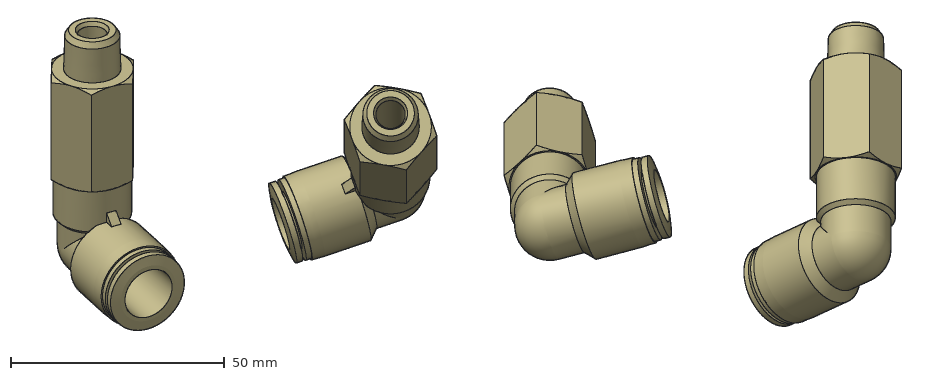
import cadquery as cq
import math

OVERALL_LENGTH = 36.85
OVERALL_HEIGHT = 68.0

STEM_BASE_DIAMETER = 13.45
STEM_END_DIAMETER = 13.0
STEM_TIP_DIAMETER = 11.15
STEM_CHAMFER_HEIGHT = 1.4

HEX_ACROSS_FLATS = 19.1
HEX_TOP_Z = 47.05
HEX_BOTTOM_Z = 19.2
HEX_CHAMFER_ANGLE = 30.0

BARREL_DIAMETER = 18.5
BARREL_BOTTOM_Z = 8.15
BARREL_CONE_END_Z = 7.15

ELBOW_DIAMETER = 16.5
BODY_DIAMETER = 21.0
TOP_Z = OVERALL_HEIGHT - BODY_DIAMETER / 2
BODY_MOUTH_DIAMETER = 20.75
BODY_CONE_START_X = 6.3
BODY_START_X = BODY_CONE_START_X + (BODY_DIAMETER - ELBOW_DIAMETER) / 2
BODY_TAPER_X = 20.0
BODY_END_X = 23.1

RING_DIAMETER = 20.0
RING_END_X = 24.5
NECK_DIAMETER = 14.6
NECK_RELIEF_DIAMETER = 14.2
NECK_STEP_X = 24.95
COLLAR_DIAMETER = 19.8
COLLAR_START_X = 25.3
COLLAR_BEVEL_X = 26.8
COLLAR_END_X = OVERALL_LENGTH - HEX_ACROSS_FLATS / 2

RIB_WIDTH = 2.5
RIB_TIP_X = 11.7
RIB_TOP_Z = BODY_DIAMETER / 2 + RIB_TIP_X - BARREL_DIAMETER / 2

BORE_DIAMETER = 6.9
BORE_MOUTH_DIAMETER = 7.95
BORE_CHAMFER_DEPTH = 1.0
ELBOW_BORE_DIAMETER = 6.4
TUBE_DIAMETER = 12.6
TUBE_STOP_X = BODY_START_X


def revolve_about_z(profile):
    """Solid of revolution from (diameter, z) pairs, closed along the Z axis."""
    outline = [(0, profile[0][1])]
    outline += [(diameter / 2, z) for diameter, z in profile]
    outline.append((0, profile[-1][1]))
    return cq.Workplane("XZ").polyline(outline).close().revolve(360, (0, 0, 0), (0, 1, 0))


def revolve_about_x(profile):
    """Same kind of solid, turned so that it lies along +X."""
    return revolve_about_z(profile).rotate((0, 0, 0), (0, 1, 0), 90)


def make_hexagon():
    corner_diameter = HEX_ACROSS_FLATS / math.cos(math.radians(30))
    prism = (
        cq.Workplane("XY", origin=(0, 0, HEX_BOTTOM_Z))
        .polygon(6, corner_diameter)
        .extrude(HEX_TOP_Z - HEX_BOTTOM_Z)
        .rotate((0, 0, 0), (0, 0, 1), 30)
    )
    corner_overhang = (corner_diameter - HEX_ACROSS_FLATS) / 2
    chamfer_height = corner_overhang * math.tan(math.radians(HEX_CHAMFER_ANGLE))
    envelope = revolve_about_z([
        (HEX_ACROSS_FLATS, HEX_BOTTOM_Z),
        (corner_diameter, HEX_BOTTOM_Z + chamfer_height),
        (corner_diameter, HEX_TOP_Z - chamfer_height),
        (HEX_ACROSS_FLATS, HEX_TOP_Z),
    ])
    return prism.intersect(envelope)


def make_stem():
    return revolve_about_z([
        (STEM_BASE_DIAMETER, HEX_TOP_Z),
        (STEM_END_DIAMETER, TOP_Z - STEM_CHAMFER_HEIGHT),
        (STEM_TIP_DIAMETER, TOP_Z),
    ])


def make_barrel():
    return revolve_about_z([
        (ELBOW_DIAMETER, 0),
        (ELBOW_DIAMETER, BARREL_CONE_END_Z),
        (BARREL_DIAMETER, BARREL_BOTTOM_Z),
        (BARREL_DIAMETER, HEX_BOTTOM_Z),
    ])


def make_socket():
    return revolve_about_x([
        (ELBOW_DIAMETER, 0),
        (ELBOW_DIAMETER, BODY_CONE_START_X),
        (BODY_DIAMETER, BODY_START_X),
        (BODY_DIAMETER, BODY_TAPER_X),
        (BODY_MOUTH_DIAMETER, BODY_END_X),
        (RING_DIAMETER, BODY_END_X),
        (RING_DIAMETER, RING_END_X),
        (NECK_RELIEF_DIAMETER, RING_END_X),
        (NECK_RELIEF_DIAMETER, NECK_STEP_X),
        (NECK_DIAMETER, NECK_STEP_X),
        (NECK_DIAMETER, COLLAR_START_X),
        (COLLAR_DIAMETER, COLLAR_START_X),
        (COLLAR_DIAMETER, COLLAR_BEVEL_X),
        (NECK_DIAMETER, COLLAR_END_X),
    ])


def make_rib():
    outline = [(BODY_START_X, 0), (RIB_TIP_X, 0), (RIB_TIP_X, BODY_DIAMETER / 2)]
    outline += [(BARREL_DIAMETER / 2, RIB_TOP_Z), (BODY_START_X, RIB_TOP_Z)]
    return cq.Workplane("XZ").polyline(outline).close().extrude(RIB_WIDTH / 2, both=True)


def make_passages():
    stem_bore = revolve_about_z([
        (ELBOW_BORE_DIAMETER, 0),
        (ELBOW_BORE_DIAMETER, HEX_BOTTOM_Z),
        (BORE_DIAMETER, HEX_BOTTOM_Z),
        (BORE_DIAMETER, TOP_Z - BORE_CHAMFER_DEPTH),
        (BORE_MOUTH_DIAMETER, TOP_Z),
    ])
    socket_bore = revolve_about_x([
        (ELBOW_BORE_DIAMETER, 0),
        (ELBOW_BORE_DIAMETER, TUBE_STOP_X),
        (TUBE_DIAMETER, TUBE_STOP_X),
        (TUBE_DIAMETER, COLLAR_END_X),
    ])
    corner = cq.Workplane("XY").sphere(ELBOW_BORE_DIAMETER / 2)
    return stem_bore.union(socket_bore).union(corner)


elbow_corner = cq.Workplane("XY").sphere(ELBOW_DIAMETER / 2)
body = make_barrel().union(make_socket()).union(elbow_corner)
body = body.union(make_rib()).union(make_hexagon()).union(make_stem())
result = body.cut(make_passages())